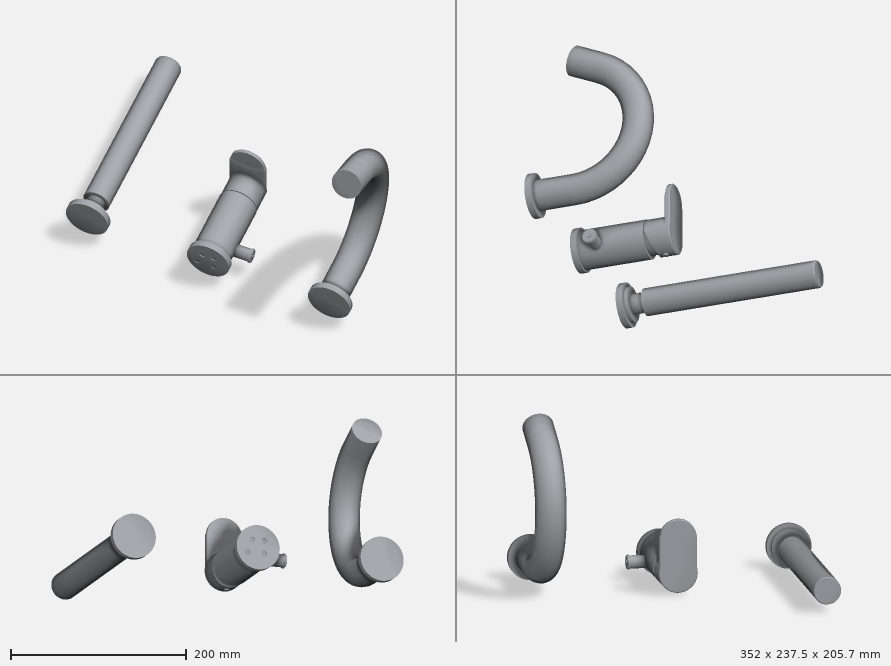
import cadquery as cq
import math


UNIT_SPACING = 150.0
ROSETTE_DIAMETER = 52.0
ROSETTE_THICKNESS = 7.7

HOLDER_STEP_DIAMETER = 42.0
HOLDER_STEP_END = 12.0
HOLDER_DIAMETER = 24.0
HOLDER_END = 22.0
NECK_DIAMETER = 22.0
WAND_DIAMETER = 32.0
WAND_START = 27.0
WAND_END = 237.5
WAND_CHAMFER = 1.8

MIXER_DIAMETER = 46.0
MIXER_END = 87.3
CORE_DIAMETER = 38.0
CORE_END = 96.0
SUPPLY_HOLE_DIAMETER = 6.7
SUPPLY_HOLE_DEPTH = 1.0
SUPPLY_HOLE_CENTRES = [(-7.0, 8.0), (7.0, 8.0), (-13.5, -7.0), (7.0, -7.0)]

KNOB_Y = 29.5
KNOB_Z = -5.0
KNOB_DIAMETER = 15.0
KNOB_COLLAR_DIAMETER = 17.2
KNOB_COLLAR_START = 40.0
KNOB_COLLAR_END = 42.0
KNOB_END = 43.0
KNOB_TIP_DIAMETER = 5.0
KNOB_TIP_END = 44.5

LEVER_RADIUS = 22.5
LEVER_START = 88.7
LEVER_END = 119.5
LEVER_CHAMFER = 1.0
PADDLE_THICKNESS = 6.5
PADDLE_HALF_WIDTH = 22.0
PADDLE_SHOULDER_Z = 43.3
PADDLE_DOME_HALF_WIDTH = 21.0
PADDLE_TOP_Z = 63.5
PADDLE_FILLET = 2.5
DISH_CENTRE_Z = 88.7
DISH_RIM_RADIUS = 52.0
DISH_EDGE_RADIUS = 47.0
DISH_EDGE_DEPTH = 0.7
DISH_DEPTH = 2.5
RELIEF_LENGTH = 10.0
SCREW_Y = 107.0
SCREW_DIAMETER = 6.5
SCREW_BOTTOM_Z = -24.3

SPOUT_DIAMETER = 36.0
BEND_START = 50.7
BEND_RADIUS = 78.0
OUTLET_TILT = 24
OUTLET_LENGTH = 34.5


def y_cylinder(diameter, start, end, x=0, z=0):
    """Cylinder along Y from y = start to y = end."""
    base = cq.Workplane("XZ", origin=(x, start, z))
    return base.circle(diameter / 2).extrude(start - end)


def x_cylinder(diameter, start, end, y, z):
    """Cylinder along X from x = start to x = end."""
    return cq.Workplane("YZ", origin=(start, y, z)).circle(diameter / 2).extrude(end - start)


def rosette(x):
    """Round wall plate at the foot of a unit."""
    return y_cylinder(ROSETTE_DIAMETER, 0, ROSETTE_THICKNESS, x)


def make_holder(x):
    """Stepped holder that carries the hand shower."""
    step = y_cylinder(HOLDER_STEP_DIAMETER, ROSETTE_THICKNESS, HOLDER_STEP_END, x)
    socket = y_cylinder(HOLDER_DIAMETER, HOLDER_STEP_END, HOLDER_END, x)
    return rosette(x).union(step).union(socket)


def make_hand_shower(x):
    """Long round wand with a narrower neck standing on the holder."""
    neck = y_cylinder(NECK_DIAMETER, HOLDER_END, WAND_START, x)
    wand = y_cylinder(WAND_DIAMETER, WAND_START, WAND_END, x)
    wand = wand.faces(">Y").chamfer(WAND_CHAMFER, WAND_CHAMFER / 2)
    return wand.union(neck)


def make_knob():
    """Diverter knob, reaching from the mixer axis plane out through the wall."""
    shank = x_cylinder(KNOB_DIAMETER, 0, KNOB_END, KNOB_Y, KNOB_Z)
    collar = x_cylinder(KNOB_COLLAR_DIAMETER, KNOB_COLLAR_START, KNOB_COLLAR_END, KNOB_Y, KNOB_Z)
    tip = x_cylinder(KNOB_TIP_DIAMETER, KNOB_END, KNOB_TIP_END, KNOB_Y, KNOB_Z)
    return shank.union(collar).union(tip)


def make_mixer_body():
    """Mixer barrel with its rosette, diverter knob and the core that carries the lever."""
    barrel = y_cylinder(MIXER_DIAMETER, ROSETTE_THICKNESS, MIXER_END)
    core = y_cylinder(CORE_DIAMETER, MIXER_END, CORE_END)
    body = rosette(0).union(barrel).union(core).union(make_knob())
    for hole_x, hole_z in SUPPLY_HOLE_CENTRES:
        body = body.cut(y_cylinder(SUPPLY_HOLE_DIAMETER, 0, SUPPLY_HOLE_DEPTH, hole_x, hole_z))
    return body


def make_paddle():
    """Upright plate of the lever: its foot inside the hub, its top a dome, its edges chamfered."""
    outline = (
        cq.Workplane("XZ", origin=(0, LEVER_END, 0))
        .moveTo(-PADDLE_HALF_WIDTH, 0)
        .lineTo(PADDLE_HALF_WIDTH, 0)
        .lineTo(PADDLE_HALF_WIDTH, PADDLE_SHOULDER_Z)
        .lineTo(PADDLE_DOME_HALF_WIDTH, PADDLE_SHOULDER_Z)
        .threePointArc((0, PADDLE_TOP_Z), (-PADDLE_DOME_HALF_WIDTH, PADDLE_SHOULDER_Z))
        .lineTo(-PADDLE_HALF_WIDTH, PADDLE_SHOULDER_Z)
        .close()
    )
    return outline.extrude(PADDLE_THICKNESS).faces("<Y or >Y").chamfer(LEVER_CHAMFER)


def make_dish():
    """Shallow finger dish, a turned shape about a Y axis above the paddle."""
    face_y = LEVER_END - PADDLE_THICKNESS
    return (
        cq.Workplane("XY", origin=(0, face_y, DISH_CENTRE_Z))
        .lineTo(DISH_RIM_RADIUS, 0)
        .lineTo(DISH_EDGE_RADIUS, DISH_EDGE_DEPTH)
        .lineTo(0, DISH_DEPTH)
        .close()
        .revolve(360, (0, 0, 0), (0, 1, 0))
    )


def make_hub_fillet():
    """Concave ring that blends the upper half of the hub into the back face of the paddle."""
    face_y = LEVER_END - PADDLE_THICKNESS
    outer_radius = LEVER_RADIUS + PADDLE_FILLET
    arc_offset = PADDLE_FILLET * (1 - math.sqrt(0.5))
    ring = (
        cq.Workplane("XY")
        .moveTo(LEVER_RADIUS - PADDLE_FILLET, face_y)
        .lineTo(outer_radius, face_y)
        .threePointArc(
            (LEVER_RADIUS + arc_offset, face_y - arc_offset),
            (LEVER_RADIUS, face_y - PADDLE_FILLET),
        )
        .lineTo(LEVER_RADIUS - PADDLE_FILLET, face_y - PADDLE_FILLET)
        .close()
        .revolve(360, (0, 0, 0), (0, 1, 0))
    )
    face_width = 2 * (PADDLE_HALF_WIDTH - LEVER_CHAMFER)
    upper_half = cq.Workplane("XY", origin=(0, face_y, 0)).rect(face_width, 2 * PADDLE_FILLET)
    return ring.intersect(upper_half.extrude(outer_radius))


def make_relief():
    """Wedge below the hub axis that clears the mixer barrel when the lever tilts."""
    return (
        cq.Workplane("YZ")
        .moveTo(LEVER_START, 0)
        .lineTo(LEVER_START + RELIEF_LENGTH, -LEVER_RADIUS)
        .lineTo(LEVER_START, -LEVER_RADIUS)
        .close()
        .extrude(LEVER_RADIUS, both=True)
    )


def make_lever():
    """Lever hub with its paddle, hollowed for the core and relieved below for tilting."""
    hub = y_cylinder(2 * LEVER_RADIUS, LEVER_START, LEVER_END)
    hub = hub.faces(">Y").chamfer(LEVER_CHAMFER)
    screw = (
        cq.Workplane("XY", origin=(0, SCREW_Y, SCREW_BOTTOM_Z))
        .circle(SCREW_DIAMETER / 2)
        .extrude(-SCREW_BOTTOM_Z)
    )
    socket = y_cylinder(CORE_DIAMETER, LEVER_START, CORE_END)
    lever = make_paddle().cut(make_dish()).union(hub).union(make_hub_fillet()).union(screw)
    return lever.cut(socket).cut(make_relief())


def make_spout(x):
    """Round tube that leaves the rosette, bends up and back, and ends in a straight outlet."""
    bend_angle = 180 - OUTLET_TILT
    inlet = y_cylinder(SPOUT_DIAMETER, ROSETTE_THICKNESS, BEND_START, x)
    bend = (
        cq.Workplane("XZ", origin=(x, BEND_START, 0))
        .circle(SPOUT_DIAMETER / 2)
        .revolve(bend_angle, (0, BEND_RADIUS, 0), (1, BEND_RADIUS, 0))
    )
    tilt = math.radians(OUTLET_TILT)
    bend_end = (
        x,
        BEND_START + BEND_RADIUS * math.sin(tilt),
        BEND_RADIUS * (1 + math.cos(tilt)),
    )
    outlet_plane = cq.Plane(bend_end, (1, 0, 0), (0, -math.cos(tilt), math.sin(tilt)))
    outlet = cq.Workplane(outlet_plane).circle(SPOUT_DIAMETER / 2).extrude(OUTLET_LENGTH)
    return rosette(x).union(inlet).union(bend).union(outlet)


holder = make_holder(-UNIT_SPACING)
hand_shower = make_hand_shower(-UNIT_SPACING)
mixer_body = make_mixer_body()
lever = make_lever()
spout = make_spout(UNIT_SPACING)

result = cq.Compound.makeCompound(
    [holder.val(), hand_shower.val(), mixer_body.val(), lever.val(), spout.val()]
)